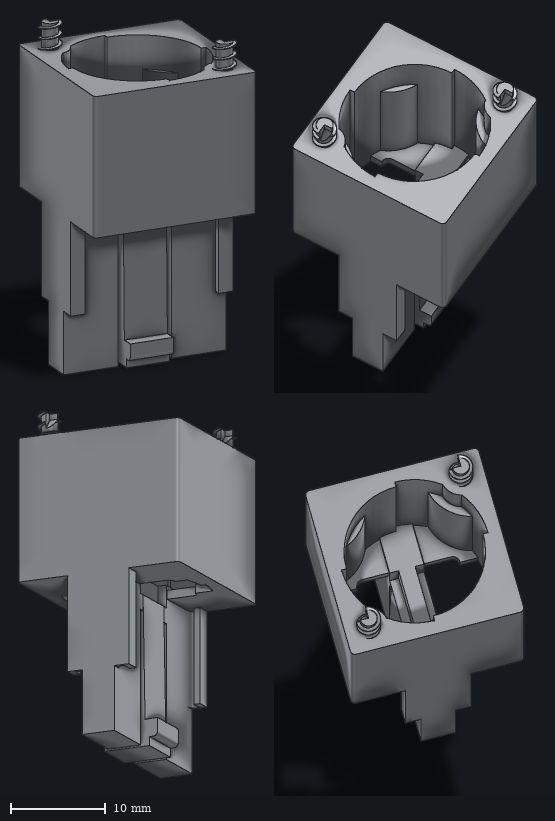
import cadquery as cq

TOTAL_HEIGHT = 36.5
WIDTH = 19.0
HALF_WIDTH = WIDTH / 2
BOX_BOTTOM = 17.65
BOX_TOP = 33.5
BOX_CORNER_RADIUS = 0.5

WIDE_SOCKET_RADIUS = 8.03
NARROW_SOCKET_RADIUS = 7.5
FLOOR_TOP = BOX_BOTTOM + 1.0
BOSS_RADIUS = 2.2
POST_TOP = 29.7
POST_RADIUS = 5.22
POST_OFFSET = 8.5

BLADE_HALF_THICKNESS = 1.9
BAR_TOP = FLOOR_TOP + 0.5

WINDOW_HALF_WIDTH = 3.35
WINDOW_REACH = 5.62
WINDOW_CORNER_RADIUS = 0.73
CHANNEL_HALF_WIDTH = 2.52

RAIL_HALF_SPAN = 3.6
RAIL_WIDTH = 1.7
RAIL_BOTTOM = 7.1
RAIL_LIP = 0.73
UNDERCUT_DEPTH = 1.35
UNDERCUT_RADIUS = 0.73

SLOT_HALF_WIDTH = 3.15
SLOT_TOP = 14.93
TONGUE_HALF_WIDTH = 2.52
TONGUE_TOP = BOX_BOTTOM - 1.0
TONGUE_FLARE = 0.237
NOTCH_HALF_GAP = 0.9
FOOT_TOP = 2.95
FOOT_BOTTOM = 1.0
FOOT_RADIUS = 0.5
TIP_HALF_THICKNESS = 2.65

SCREW_OFFSET = 6.95
CORE_RADIUS = 0.9
CORE_SEAM_ANGLE = 137
THREAD_RADIUS = 1.28
THREAD_PITCH = 1.15
THREAD_ROOT = 0.25
THREAD_CREST = 0.07
THREAD_TURNS = 4
THREAD_END_TURN = 3.25
THREAD_END_DROP = 0.05
FLUTE_WALL = 0.7
FLUTE_SLOPE = 1.2
ROOT_OVERLAP = 0.1

SIDES = (-1, 1)


def block(x0, x1, y0, y1, z0, z1):
    """Axis-aligned box between opposite corners, given in any order."""
    size = (abs(x1 - x0), abs(y1 - y0), abs(z1 - z0))
    return cq.Workplane("XY").box(*size).translate(((x0 + x1) / 2, (y0 + y1) / 2, (z0 + z1) / 2))


def cylinder(x, y, radius, z0, z1):
    return cq.Workplane("XY", origin=(x, y, z0)).circle(radius).extrude(z1 - z0)


def socket():
    """Space inside the socket: stepped bore less the screw bosses and corner posts."""
    bore = cylinder(0, 0, NARROW_SOCKET_RADIUS, BOX_BOTTOM, BOX_TOP)
    wide = cylinder(0, 0, WIDE_SOCKET_RADIUS, BOX_BOTTOM, BOX_TOP)
    for side in SIDES:
        quadrant = block(0, side * WIDTH, 0, side * WIDTH, BOX_BOTTOM, BOX_TOP)
        bore = bore.union(wide.intersect(quadrant))
    for side in SIDES:
        offset = side * SCREW_OFFSET
        bore = bore.cut(cylinder(offset, offset, BOSS_RADIUS, BOX_BOTTOM, BOX_TOP))
    for x_side in SIDES:
        for y_side in SIDES:
            x, y = x_side * POST_OFFSET, y_side * POST_OFFSET
            bore = bore.cut(cylinder(x, y, POST_RADIUS, BOX_BOTTOM, POST_TOP))
    return bore


def floor_block(half_x, half_y):
    """Block through the socket floor, centred on the Z axis."""
    return block(-half_x, half_x, -half_y, half_y, BOX_BOTTOM, FLOOR_TOP)


def floor_windows():
    """Rounded window and narrower outer channel on both sides of the blade."""
    window = floor_block(WINDOW_REACH, WINDOW_HALF_WIDTH)
    window = window.edges("|Z").fillet(WINDOW_CORNER_RADIUS)
    channel = floor_block(HALF_WIDTH, CHANNEL_HALF_WIDTH)
    return window.union(channel)


def housing():
    """Box with its socket, and the windows in the socket floor."""
    box = block(-HALF_WIDTH, HALF_WIDTH, -HALF_WIDTH, HALF_WIDTH, BOX_BOTTOM, BOX_TOP)
    box = box.edges("|Z").fillet(BOX_CORNER_RADIUS)
    space = socket()
    above_floor = block(-WIDTH, WIDTH, -WIDTH, WIDTH, FLOOR_TOP, BOX_TOP)
    return box.cut(space.intersect(above_floor)).cut(space.intersect(floor_windows()))


def blade():
    """Blade with its floor bar and the slot for the tongue."""
    half = BLADE_HALF_THICKNESS
    body = block(-half, half, -HALF_WIDTH, HALF_WIDTH, 0, BOX_BOTTOM)
    body = body.union(block(-half, half, -WIDE_SOCKET_RADIUS, WIDE_SOCKET_RADIUS, BOX_BOTTOM, BAR_TOP))
    return body.cut(block(-half, half, -SLOT_HALF_WIDTH, SLOT_HALF_WIDTH, 0, SLOT_TOP))


def notches():
    """Pockets above the tongue, open to the socket and to the sides of the blade."""
    half_width = SLOT_HALF_WIDTH
    pocket = block(NOTCH_HALF_GAP, BLADE_HALF_THICKNESS, -half_width, half_width, TONGUE_TOP, BAR_TOP)
    return pocket.union(pocket.mirror("YZ"))


def rail(x_side, y_side):
    """Corner rail; a lip stays in front of the rounded undercut beside the blade."""
    inner_y = HALF_WIDTH - RAIL_WIDTH
    lip_x = RAIL_HALF_SPAN - RAIL_LIP
    undercut_y = inner_y + UNDERCUT_DEPTH
    body = block(BLADE_HALF_THICKNESS, RAIL_HALF_SPAN, inner_y, HALF_WIDTH, RAIL_BOTTOM, BOX_BOTTOM)
    undercut = block(BLADE_HALF_THICKNESS, lip_x, inner_y, undercut_y, RAIL_BOTTOM, BOX_BOTTOM)
    undercut = undercut.edges("|Z and <X and >Y").fillet(UNDERCUT_RADIUS)
    body = body.cut(undercut)
    if x_side < 0:
        body = body.mirror("YZ")
    if y_side < 0:
        body = body.mirror("XZ")
    return body


def tongue():
    """Tongue that flares towards a latch foot on each side and ends in a narrower tip."""
    neck_x = BLADE_HALF_THICKNESS + TONGUE_FLARE
    foot_rise = (RAIL_HALF_SPAN - neck_x) * TONGUE_FLARE / (TONGUE_TOP - FOOT_TOP)
    half_profile = [
        (BLADE_HALF_THICKNESS, TONGUE_TOP),
        (neck_x, FOOT_TOP),
        (RAIL_HALF_SPAN, FOOT_TOP + foot_rise),
        (RAIL_HALF_SPAN, FOOT_BOTTOM),
        (TIP_HALF_THICKNESS, FOOT_BOTTOM),
        (TIP_HALF_THICKNESS, 0),
    ]
    other_half = [(-x, z) for x, z in reversed(half_profile)]
    body = (
        cq.Workplane("XZ")
        .polyline(half_profile + other_half)
        .close()
        .extrude(TONGUE_HALF_WIDTH, both=True)
    )
    for side in SIDES:
        corner = cq.selectors.NearestToPointSelector((side * RAIL_HALF_SPAN, 0, FOOT_BOTTOM))
        body = body.edges(corner).fillet(FOOT_RADIUS)
    return body


def thread(z_start):
    """Right-handed ridge of trapezoid section around the Z axis."""
    root = CORE_RADIUS - ROOT_OVERLAP
    path = cq.Wire.makeHelix(THREAD_PITCH, THREAD_PITCH * THREAD_TURNS, CORE_RADIUS)
    ridge = (
        cq.Workplane("XZ")
        .moveTo(root, -THREAD_ROOT / 2)
        .lineTo(THREAD_RADIUS, -THREAD_CREST / 2)
        .lineTo(THREAD_RADIUS, THREAD_CREST / 2)
        .lineTo(root, THREAD_ROOT / 2)
        .close()
        .sweep(cq.Workplane(path), isFrenet=True)
    )
    return ridge.translate((0, 0, z_start))


def screw():
    """Threaded stud on the Z axis with a cutting flute in the -X +Y quarter of its end."""
    z_start = TOTAL_HEIGHT - THREAD_END_DROP - THREAD_PITCH * THREAD_END_TURN
    z_end = z_start + THREAD_PITCH * THREAD_TURNS
    core = cylinder(0, 0, CORE_RADIUS, z_start - THREAD_PITCH, z_end + THREAD_PITCH)
    core = core.rotate((0, 0, 0), (0, 0, 1), CORE_SEAM_ANGLE)
    reach = 2 * THREAD_RADIUS
    trim = block(-reach, reach, -reach, reach, BOX_TOP - ROOT_OVERLAP, TOTAL_HEIGHT)
    stud = core.union(thread(z_start)).intersect(trim)
    flute = (
        cq.Workplane("YZ")
        .moveTo(0, TOTAL_HEIGHT)
        .lineTo(0, TOTAL_HEIGHT - FLUTE_WALL)
        .lineTo(reach, TOTAL_HEIGHT - FLUTE_WALL - FLUTE_SLOPE * reach)
        .lineTo(reach, TOTAL_HEIGHT)
        .close()
        .extrude(-reach)
    )
    return stud.cut(flute)


result = housing().union(blade()).union(tongue()).cut(notches())
for x_side in SIDES:
    for y_side in SIDES:
        result = result.union(rail(x_side, y_side))
stud = screw()
for side in SIDES:
    result = result.union(stud.translate((side * SCREW_OFFSET, side * SCREW_OFFSET, 0)))